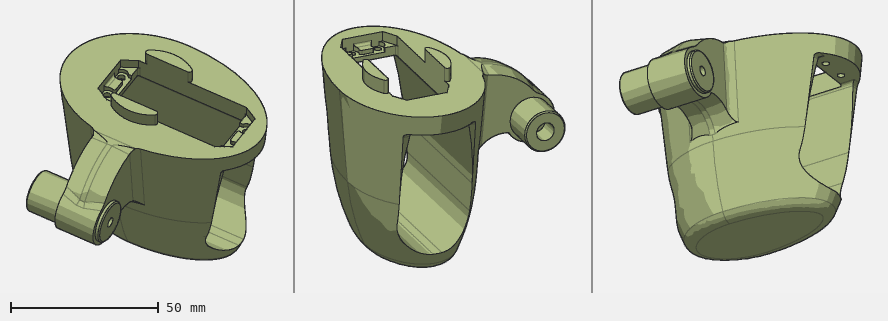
import cadquery as cq
import math

egg_back = 32.95
egg_front = 42.95
egg_side = 25.0
body_height = 62.05
joint_height = 27.2
wall_taper = 5
cup_edge_height = 2.9
cup_edge_inset = 9.2
cup_sections = 6
bottom_fillet = 4.6

tunnel_half = 13.45
tunnel_floor = 7.0
tunnel_corner = 11.85
lean_start = 30.0
lean_radius = 113.1
plate_underside = 55
tunnel_fillet = 1.6

slot_half = 10.5
slot_back = -11.5
slot_front = 31.0
slot_corner = 0.6
ledge_length = 5.2
ledge_end_half = 7.5
ledge_level = 58.55

seat_depth = 1.6
seat_half = 6.0
seat_fillet = 0.6
screw_spacing = 9.55
screw_diameter = 2.5
screw_inset = 1.9
screw_relief_radius = 2.4
tab_half = 3.5
tab_length = 3.9
tab_corner = 0.8
flare_radius = 1.0

lug_height = 5.0
lug_radius = 15.0
lug_corner = 1.0

arm_half = 7.5
arm_root_y = -15.3
crest_half = 1.0
crest_radius = 25.2
crest_rise = 1.2
underside_y = -32.2
underside_z = 26.6
underside_radius = 10.5
underside_rise = 0.9
root_fillet = 3.0
knuckle_fillet = 5.35

knuckle_radius = 8.95
tube_diameter = 15.0
tube_back = -19.9
tube_front = 9.0
tube_chamfer = 0.45
bore_diameter = 3.4
counterbore_diameter = 6.5
counterbore_depth = 7.65
hinge_y = -42.5
hinge_z = 41.9

overlap = 0.8
blank_bottom = 15.3
blank_top = 72.6

taper_slope = math.tan(math.radians(wall_taper))
joint_inset = (body_height - joint_height) * taper_slope
plate_thickness = body_height - plate_underside
slot_length = slot_front - slot_back
slot_centre = (slot_back + slot_front) / 2
ledge_end = slot_front + ledge_length
seat_floor = ledge_level - seat_depth
screws = [(ledge_end - screw_inset, side * screw_spacing / 2) for side in (1, -1)]


def egg(inset, z):
    """Closed egg outline at height z, shrunk by inset."""
    centre = cq.Vector(0, 0, z)
    up = cq.Vector(0, 0, 1)
    halves = []
    for length, along in ((egg_front, 1), (egg_back, -1)):
        long_axis = cq.Vector(along, 0, 0)
        half = cq.Edge.makeEllipse(length - inset, egg_side - inset, centre, up, long_axis, -90, 90)
        halves.append(half)
    return cq.Wire.assembleEdges(halves)


def wall_inset(z):
    """Inset of the straight tapered wall."""
    return (body_height - z) * taper_slope


def cup_inset(drop):
    """Inset of the cup wall below the joint, an arc that leaves the tapered wall tangentially."""
    fall = joint_height - cup_edge_height
    shift = cup_edge_inset - joint_inset
    start = math.radians(wall_taper)
    turn = math.atan2(shift, fall) - start
    radius = math.hypot(fall, shift) / (2 * math.sin(turn))
    angle = math.asin(drop / radius + math.sin(start))
    return joint_inset + radius * (math.cos(start) - math.cos(angle))


def make_cup():
    """Rounded lower part of the body."""
    drops = [joint_height * i / cup_sections for i in range(cup_sections + 1)]
    cup = cq.Solid.makeLoft([egg(cup_inset(drop), joint_height - drop) for drop in drops])
    return cq.Workplane(cup).faces("<Z").edges().fillet(bottom_fillet)


def arc_points(centre_y, centre_z, radius, angles):
    """Points on a circle in the YZ plane, at angles from +Z towards -Y."""
    turns = [math.radians(angle) for angle in angles]
    return [(centre_y - radius * math.sin(turn), centre_z + radius * math.cos(turn)) for turn in turns]


def crest_profile(x, inset):
    """Side outline of the arm at x: a round top, with straight sides down below the joint."""
    centre_z = body_height - crest_radius
    start, middle, end = arc_points(-egg_side, centre_z, crest_radius - inset, (-20, 20, 60))
    outline = (
        cq.Workplane("YZ", origin=(x, 0, 0))
        .moveTo(*start)
        .threePointArc(middle, end)
        .lineTo(end[0], blank_bottom)
        .lineTo(start[0], blank_bottom)
        .close()
    )
    return outline.val()


def underside_profile(x, inset):
    """Outline at x of the hollow below the arm."""
    start, middle, end = arc_points(underside_y, underside_z, underside_radius + inset, (-90, -35, 20))
    outside = hinge_y - knuckle_radius
    outline = (
        cq.Workplane("YZ", origin=(x, 0, 0))
        .moveTo(*start)
        .threePointArc(middle, end)
        .lineTo(hinge_y, hinge_z)
        .lineTo(outside, hinge_z)
        .lineTo(outside, blank_bottom)
        .lineTo(start[0], blank_bottom)
        .close()
    )
    return outline.val()


def ridge(profile, half_width, rise):
    """Solid with a narrow flat crest at x = 0; its slopes drop by rise over the arm's half width."""
    inset = rise * (half_width - crest_half) / (arm_half - crest_half)
    stations = [(-half_width, inset), (-crest_half, 0), (crest_half, 0), (half_width, inset)]
    outlines = [profile(x, drop) for x, drop in stations]
    solid = cq.Workplane()
    for pair in zip(outlines, outlines[1:]):
        solid = solid.add(cq.Solid.makeLoft(list(pair), True))
    return solid.combine()


def make_crest_trim():
    """Space above the round line of the crest, over the full width of the blended arm."""
    half_width = arm_half + root_fillet
    start, middle, end = arc_points(-egg_side, body_height - crest_radius, crest_radius, (0, 30, 60))
    return (
        cq.Workplane("YZ", origin=(-half_width, 0, 0))
        .moveTo(*start)
        .threePointArc(middle, end)
        .lineTo(end[0], body_height)
        .close()
        .extrude(2 * half_width)
    )


def x_cylinder(start, end, diameter):
    """Cylinder on the hinge axis."""
    return (
        cq.Workplane("YZ", origin=(start, hinge_y, hinge_z))
        .circle(diameter / 2)
        .extrude(end - start)
    )


def make_upper():
    """Upper wall with the arm and its knuckle blended into it."""
    wall_ends = [egg(wall_inset(z), z) for z in (blank_bottom, blank_top)]
    wall = cq.Workplane(cq.Solid.makeLoft(wall_ends, True))
    blank = wall.union(ridge(crest_profile, arm_half, crest_rise))
    root = cq.selectors.BoxSelector(
        (-arm_half - overlap, -egg_side - overlap, blank_bottom + overlap),
        (arm_half + overlap, arm_root_y, body_height + overlap),
    )
    blank = blank.edges(root).fillet(root_fillet)
    hollow = ridge(underside_profile, arm_half + root_fillet, underside_rise).cut(wall)
    slab = (
        cq.Workplane("XY", origin=(0, 0, joint_height))
        .rect(4 * egg_front, 4 * egg_front)
        .extrude(body_height - joint_height)
    )
    upper = blank.intersect(slab).cut(hollow).cut(make_crest_trim())
    upper = upper.union(x_cylinder(-arm_half, arm_half, 2 * knuckle_radius))
    crest_end = cq.selectors.BoxSelector(
        (-arm_half + overlap, hinge_y - knuckle_radius, hinge_z + knuckle_radius / 2),
        (arm_half - overlap, hinge_y - overlap, body_height),
    )
    return upper.edges(crest_end).fillet(knuckle_fillet)


def make_tube():
    """Chamfered hinge tube."""
    return x_cylinder(tube_back, tube_front, tube_diameter).faces("<X or >X").chamfer(tube_chamfer)


def make_tunnel():
    """Opening right through along X, with upper walls that lean in along large arcs."""

    def half_at(z):
        sag = lean_radius - math.sqrt(lean_radius**2 - (z - lean_start) ** 2)
        return tunnel_half - sag

    middle_z = (lean_start + plate_underside) / 2
    top_half = half_at(plate_underside)
    return (
        cq.Workplane("YZ", origin=(-egg_back - overlap, 0, 0))
        .moveTo(-tunnel_half, tunnel_floor)
        .lineTo(tunnel_half, tunnel_floor)
        .lineTo(tunnel_half, lean_start)
        .threePointArc((half_at(middle_z), middle_z), (top_half, plate_underside))
        .lineTo(-top_half, plate_underside)
        .threePointArc((-half_at(middle_z), middle_z), (-tunnel_half, lean_start))
        .close()
        .extrude(egg_back + egg_front + 2 * overlap)
        .edges("|X and <Z").fillet(tunnel_corner)
        .edges("|X and >Z").fillet(tunnel_fillet)
    )


def make_end_cut(reach):
    """Widens one end of the tunnel (reach is the egg's signed length there) up to the plate."""

    def skin_x(z):
        inset = wall_inset(z)
        skin = (abs(reach) - inset) * math.sqrt(1 - (tunnel_half / (egg_side - inset)) ** 2)
        return math.copysign(skin, reach)

    outside = reach + math.copysign(overlap, reach)
    corner = (skin_x(plate_underside), 0, plate_underside)
    return (
        cq.Workplane("XZ", origin=(0, tunnel_half, 0))
        .moveTo(skin_x(joint_height), joint_height)
        .lineTo(skin_x(plate_underside), plate_underside)
        .lineTo(outside, plate_underside)
        .lineTo(outside, joint_height)
        .close()
        .extrude(2 * tunnel_half)
        .edges(cq.selectors.NearestToPointSelector(corner))
        .fillet(tunnel_fillet)
    )


def make_slot():
    """Slot through the plate plus the shallow tapered ends that leave a ledge."""
    slot = (
        cq.Workplane("XY", origin=(slot_centre, 0, plate_underside - tunnel_fillet))
        .rect(slot_length, 2 * slot_half)
        .extrude(plate_thickness + tunnel_fillet)
        .edges("|Z").fillet(slot_corner)
    )
    slot_end = slot_length / 2
    recess_end = slot_end + ledge_length
    recess = (
        cq.Workplane("XY", origin=(slot_centre, 0, ledge_level))
        .polyline([
            (slot_end, slot_half), (recess_end, ledge_end_half),
            (recess_end, -ledge_end_half), (slot_end, -slot_half),
            (-slot_end, -slot_half), (-recess_end, -ledge_end_half),
            (-recess_end, ledge_end_half), (-slot_end, slot_half),
        ])
        .close()
        .extrude(body_height - ledge_level)
    )
    return slot.union(recess)


def screw_cylinders(radius, bottom, top):
    """Upright cylinders at the two screws of the +X ledge."""
    return (
        cq.Workplane("XY", origin=(0, 0, bottom))
        .pushPoints(screws)
        .circle(radius)
        .extrude(top - bottom)
    )


def make_screw_seat():
    """Sunken seat in the +X ledge with two screw holes."""
    ledge = cq.Workplane("XY", origin=(ledge_end - ledge_length / 2, 0, seat_floor))
    seat = ledge.rect(ledge_length, 2 * seat_half).extrude(seat_depth)
    seat = seat.union(screw_cylinders(screw_relief_radius, seat_floor, ledge_level))
    seat = seat.intersect(ledge.rect(ledge_length, 2 * slot_half).extrude(seat_depth))
    relief_junctions = cq.selectors.BoxSelector(
        (slot_front + overlap, -slot_half, seat_floor),
        (ledge_end - overlap, slot_half, ledge_level),
    )
    seat = seat.edges("|Z").edges(relief_junctions).fillet(seat_fillet)
    return seat.union(screw_cylinders(screw_diameter / 2, plate_underside - tunnel_fillet, ledge_level))


def make_tab():
    """Tab between the screws of the +X ledge, flared up into the end wall."""
    tab_start = ledge_end - tab_length
    flare_top = ledge_level + flare_radius
    tab = (
        cq.Workplane("XZ", origin=(0, tab_half, 0))
        .moveTo(tab_start, seat_floor)
        .lineTo(tab_start, ledge_level)
        .lineTo(ledge_end - flare_radius, ledge_level)
        .radiusArc((ledge_end, flare_top), -flare_radius)
        .lineTo(ledge_end, seat_floor)
        .close()
        .extrude(2 * tab_half)
    )
    tab = tab.cut(screw_cylinders(screw_relief_radius, seat_floor, flare_top))
    return tab.edges("|Z and <X").fillet(tab_corner)


def make_lug():
    """Lug on the +Y edge of the slot, with an outer face centred on the Z axis."""
    half_width = math.sqrt(lug_radius**2 - slot_half**2)
    return (
        cq.Workplane("XY", origin=(0, 0, body_height))
        .moveTo(-half_width, slot_half)
        .threePointArc((0, lug_radius), (half_width, slot_half))
        .close()
        .extrude(lug_height)
        .edges("|Z").fillet(lug_corner)
    )


def at_both_ends(feature):
    """The feature and its mirror image about the middle of the slot."""
    mirrored = feature.mirror("YZ").translate((2 * slot_centre, 0, 0))
    return feature.union(mirrored)


body = make_upper().union(make_tube()).union(make_cup())
body = body.cut(make_tunnel())
for reach in (egg_front, -egg_back):
    body = body.cut(make_end_cut(reach))

body = body.cut(make_slot())
body = body.cut(at_both_ends(make_screw_seat())).union(at_both_ends(make_tab()))

lug = make_lug()
body = body.union(lug).union(lug.mirror("XZ"))

body = body.cut(x_cylinder(tube_back, tube_front, bore_diameter))
body = body.cut(x_cylinder(tube_back, tube_back + counterbore_depth, counterbore_diameter))
result = body